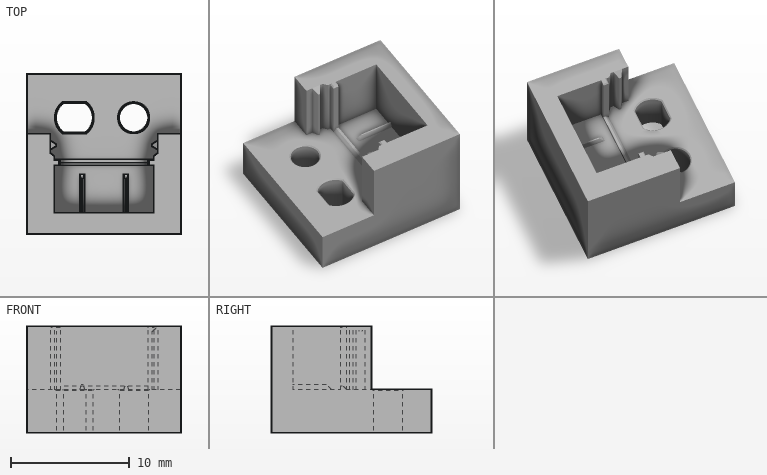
import cadquery as cq
import math

width = 13.0
depth = 13.5
height = 9.0

floor_z = 3.69
wall_back_y = 8.45
wall_height = height - floor_z

cavity_front_y = 1.8
cavity_half_width = 4.2
mouth_half_width = 4.55
taper_start_y = 6.56
taper_end_y = 6.85

tab_front_y = 5.8
tab_back_y = 6.3
tab_inner_x = 3.7
tab_chamfer = 0.11
sill_height = 0.28

rib_y = 7.49
rib_half_base = 0.39
rib_reach = 0.53
rib_nose_radius = 0.15
rib_flank_angle = math.radians(30)
rib_top_drop = 0.46

ridge_x = 1.85
ridge_back_y = 5.04
ridge_base_width = 0.42
ridge_top_width = 0.11
ridge_height = 0.4

hole_x = 2.5
hole_y = 9.8
hole_diameter = 2.45
slot_diameter = 3.09
hole_chamfer = 0.11


def box(x_min, x_max, y_min, y_max, z_min, z_max):
    """Axis-aligned block given by its limits."""
    size = (x_max - x_min, y_max - y_min, z_max - z_min)
    return cq.Workplane("XY").box(*size, centered=False).translate((x_min, y_min, z_min))


def make_body():
    """L-shaped block with the open-backed cavity cut down to the floor."""
    block = box(-width / 2, width / 2, 0, depth, 0, height)
    shelf_space = box(-width / 2, width / 2, wall_back_y, depth, floor_z, height)
    right_side = [
        (cavity_half_width, cavity_front_y),
        (cavity_half_width, taper_start_y),
        (mouth_half_width, taper_end_y),
        (mouth_half_width, wall_back_y),
    ]
    left_side = [(-x, y) for x, y in reversed(right_side)]
    cavity = (
        cq.Workplane("XY")
        .workplane(offset=floor_z)
        .polyline(right_side + left_side)
        .close()
        .extrude(wall_height)
    )
    return block.cut(shelf_space).cut(cavity)


def make_tab():
    """Right-hand retaining tab, chamfered at the top of its inner and back edges."""
    tab = box(tab_inner_x, mouth_half_width, tab_front_y, tab_back_y, floor_z, height)
    return tab.faces(">Z").edges("<X or >Y").chamfer(tab_chamfer)


def make_sill():
    """Low bar between the tabs with a 45 degree ramp along its back."""
    profile = [
        (tab_front_y, floor_z),
        (tab_back_y, floor_z),
        (tab_back_y - sill_height, floor_z + sill_height),
        (tab_front_y, floor_z + sill_height),
    ]
    sill = cq.Workplane("YZ").polyline(profile).close().extrude(2 * tab_inner_x)
    return sill.translate((-tab_inner_x, 0, 0))


def make_guide_rib():
    """Right-hand guide rib: straight flanks, round nose and a sloping top."""
    nose_x = mouth_half_width - rib_reach
    tangent_x = nose_x + rib_nose_radius * (1 - math.sin(rib_flank_angle))
    tangent_dy = rib_nose_radius * math.cos(rib_flank_angle)
    rib = (
        cq.Workplane("XY")
        .workplane(offset=floor_z)
        .moveTo(mouth_half_width, rib_y - rib_half_base)
        .lineTo(tangent_x, rib_y - tangent_dy)
        .threePointArc((nose_x, rib_y), (tangent_x, rib_y + tangent_dy))
        .lineTo(mouth_half_width, rib_y + rib_half_base)
        .close()
        .extrude(wall_height)
    )
    top_cut = (
        cq.Workplane("XZ", origin=(0, rib_y, 0))
        .polyline([(mouth_half_width, height), (nose_x, height), (nose_x, height - rib_top_drop)])
        .close()
        .extrude(rib_half_base, both=True)
    )
    return rib.cut(top_cut)


def make_ridge():
    """Right-hand floor ridge: trapezoid section with a 45 degree back end."""
    section = [
        (ridge_x - ridge_base_width / 2, floor_z),
        (ridge_x + ridge_base_width / 2, floor_z),
        (ridge_x + ridge_top_width / 2, floor_z + ridge_height),
        (ridge_x - ridge_top_width / 2, floor_z + ridge_height),
    ]
    ridge = (
        cq.Workplane("XZ", origin=(0, ridge_back_y, 0))
        .polyline(section)
        .close()
        .extrude(ridge_back_y - cavity_front_y)
    )
    end_cut = (
        cq.Workplane("YZ", origin=(ridge_x, 0, 0))
        .polyline([
            (ridge_back_y, floor_z),
            (ridge_back_y, floor_z + ridge_height),
            (ridge_back_y - ridge_height, floor_z + ridge_height),
        ])
        .close()
        .extrude(ridge_base_width, both=True)
    )
    return ridge.cut(end_cut)


def hole_cutter(x, diameter):
    """Round cutter flattened to the common hole width."""
    cutter = cq.Workplane("XY").circle(diameter / 2).extrude(floor_z)
    flats = cq.Workplane("XY").rect(diameter, hole_diameter).extrude(floor_z)
    cutter = cutter.intersect(flats)
    return cutter.translate((x, hole_y, 0))


result = make_body().union(make_sill())
for feature in (make_tab(), make_guide_rib(), make_ridge()):
    result = result.union(feature).union(feature.mirror("YZ"))
for x, diameter in ((-hole_x, slot_diameter), (hole_x, hole_diameter)):
    result = result.cut(hole_cutter(x, diameter))
rim_reach_x = hole_x + slot_diameter / 2
rim_reach_y = hole_diameter / 2 + hole_chamfer / 2
rim_zone = cq.selectors.BoxSelector(
    (-rim_reach_x, hole_y - rim_reach_y, floor_z - hole_chamfer),
    (rim_reach_x, hole_y + rim_reach_y, floor_z + hole_chamfer),
)
result = result.edges(rim_zone).chamfer(hole_chamfer)